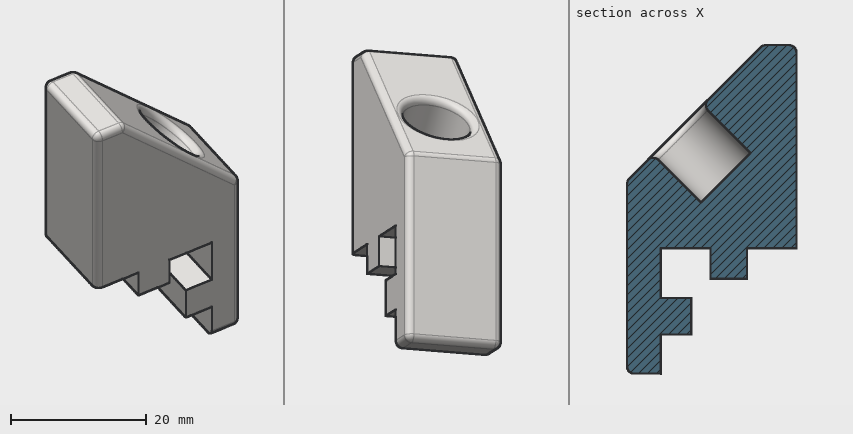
import cadquery as cq

width = 15.0
depth = 25.0
height = 48.5

top_land = 5.0
slope_rise = depth - top_land
wall_thickness = 5.0
ledge_z = 18.5
tab_width = 5.4
tab_length = 4.5
tab_offset = 10.0
edge_radius = 1.1

hole_diameter = 10.3
hole_depth = 10.0
hole_y = 17.5

leg_y = depth - wall_thickness
slope_bottom_z = height - slope_rise
hole_z = height - (hole_y - top_land)


def make_body():
    """Extrude the stepped side outline, centred on X = 0."""
    head_tab_y = leg_y - tab_offset
    leg_tab_z = ledge_z - tab_offset
    half_tab = tab_width / 2
    outline = [
        (0, height),
        (0, ledge_z),
        (head_tab_y - half_tab, ledge_z),
        (head_tab_y - half_tab, ledge_z - tab_length),
        (head_tab_y + half_tab, ledge_z - tab_length),
        (head_tab_y + half_tab, ledge_z),
        (leg_y, ledge_z),
        (leg_y, leg_tab_z + half_tab),
        (leg_y - tab_length, leg_tab_z + half_tab),
        (leg_y - tab_length, leg_tab_z - half_tab),
        (leg_y, leg_tab_z - half_tab),
        (leg_y, 0),
        (depth, 0),
        (depth, slope_bottom_z),
        (top_land, height),
    ]
    return cq.Workplane("YZ").polyline(outline).close().extrude(width / 2, both=True)


def round_outer_edges(body):
    """Round the edges of the front, top, slope, back and foot faces, leaving
    two sharp: front face to ledge, and foot to the inside of the leg."""
    edges = body.faces("<Y or >Y or >Z or <Z or >(0, 1, 1)").edges()
    front_ledge_edge = edges.edges(cq.NearestToPointSelector((0, 0, ledge_z))).val()
    inner_foot_edge = edges.edges(cq.NearestToPointSelector((0, leg_y, 0))).val()
    sharp_edges = (front_ledge_edge, inner_foot_edge)
    rounded_edges = edges.filter(lambda edge: not any(edge.isSame(sharp) for sharp in sharp_edges))
    return rounded_edges.fillet(edge_radius)


def cut_hole(body):
    """Cut the blind hole into the slope and round its mouth."""
    mouth = cq.Plane(origin=(0, hole_y, hole_z), xDir=(1, 0, 0), normal=(0, 1, 1))
    drill = cq.Workplane(mouth).circle(hole_diameter / 2).extrude(-hole_depth)
    mouth_edge = body.cut(drill).edges("%CIRCLE").edges(cq.NearestToPointSelector(mouth.origin.toTuple()))
    return mouth_edge.fillet(edge_radius)


result = cut_hole(round_outer_edges(make_body()))